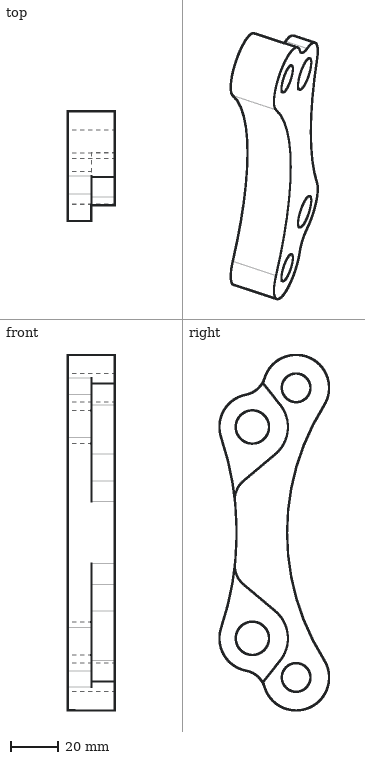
import cadquery as cq
import math

length = 149.9
thickness = 20.0
flange_thickness = thickness / 2
lobe_radius = 14.0
inner_offset = 18.5
inner_height = 44.5
outer_hole_diameter = 12.0
inner_hole_diameter = 14.0
neck_radius = 10.0
back_radius = 100.0
front_radius = 125.0
relief_radius = 15.0
relief_outer_angle = 38.5
relief_inner_angle = 50.0
relief_corner_radius = 10.0
relief_reach = 45.0

outer_center = (0.0, length / 2 - lobe_radius)
inner_center = (-inner_offset, inner_height)


def mirrored(point):
    """Reflect a (Y, Z) point about Z = 0."""
    return (point[0], -point[1])


def toward(start, end, distance):
    """Point at a distance from start on the line to end."""
    ratio = distance / math.dist(start, end)
    return (start[0] + ratio * (end[0] - start[0]), start[1] + ratio * (end[1] - start[1]))


def polar(center, radius, degrees):
    """Point on a circle, with the angle measured from +Y toward +Z."""
    angle = math.radians(degrees)
    return (center[0] + radius * math.cos(angle), center[1] + radius * math.sin(angle))


def tangent_center_y(lobe_center, radius):
    """Y distance from a lobe to the centre, on Z = 0, of an edge arc touching that lobe."""
    return math.sqrt((radius + lobe_radius) ** 2 - lobe_center[1] ** 2)


def notch_point():
    """Sharp inside corner where the outer and the inner lobe circles cross."""
    spacing = math.dist(outer_center, inner_center)
    middle = toward(outer_center, inner_center, spacing / 2)
    rise = math.sqrt(lobe_radius ** 2 - (spacing / 2) ** 2)
    along_y = (inner_center[0] - outer_center[0]) / spacing
    along_z = (inner_center[1] - outer_center[1]) / spacing
    return (middle[0] + rise * along_z, middle[1] - rise * along_y)


def make_plate(start_x, depth):
    """Four-lobed plate with sharp notches between neighbouring lobes."""
    back_center = (outer_center[0] + tangent_center_y(outer_center, back_radius), 0.0)
    front_center = (inner_center[0] - tangent_center_y(inner_center, front_radius), 0.0)

    back_touch = toward(outer_center, back_center, lobe_radius)
    outer_tip = (outer_center[0], outer_center[1] + lobe_radius)
    notch = notch_point()
    inner_tip = (inner_center[0] - lobe_radius, inner_center[1])
    front_touch = toward(inner_center, front_center, lobe_radius)
    front_middle = (front_center[0] + front_radius, 0.0)
    back_middle = (back_center[0] - back_radius, 0.0)

    return (
        cq.Workplane("YZ", origin=(start_x, 0, 0))
        .moveTo(*back_touch)
        .threePointArc(outer_tip, notch)
        .threePointArc(inner_tip, front_touch)
        .threePointArc(front_middle, mirrored(front_touch))
        .threePointArc(mirrored(inner_tip), mirrored(notch))
        .threePointArc(mirrored(outer_tip), mirrored(back_touch))
        .threePointArc(back_middle, back_touch)
        .close()
        .extrude(depth)
    )


def make_flange():
    """Lower layer of the plate, with the notches blended."""
    flange = make_plate(0, flange_thickness)
    for notch in (notch_point(), mirrored(notch_point())):
        edge = cq.selectors.NearestToPointSelector((flange_thickness / 2, *notch))
        flange = flange.edges("|X").edges(edge).fillet(neck_radius)
    return flange


def make_raised_layer():
    """Upper layer of the plate, cut back by the bolt reliefs."""
    relief = make_relief()
    layer = make_plate(flange_thickness, thickness - flange_thickness)
    layer = layer.cut(relief).cut(relief.mirror("XY"))
    corner_zone = cq.selectors.BoxSelector(
        (flange_thickness, -inner_offset - lobe_radius, -inner_height / 2),
        (thickness, -inner_offset, inner_height / 2),
    )
    return layer.edges("|X").edges(corner_zone).fillet(relief_corner_radius)


def make_relief():
    """Upper bolt relief: an arc round the inner hole with two walls opening toward -Y."""
    outer_start = polar(inner_center, relief_radius, relief_outer_angle)
    outer_end = polar(outer_start, relief_reach, relief_outer_angle + 90)
    inner_start = polar(inner_center, relief_radius, -relief_inner_angle)
    inner_end = polar(inner_start, relief_reach, -relief_inner_angle - 90)
    arc_middle = polar(inner_center, relief_radius, (relief_outer_angle - relief_inner_angle) / 2)
    return (
        cq.Workplane("YZ", origin=(flange_thickness, 0, 0))
        .moveTo(*outer_end)
        .lineTo(*outer_start)
        .threePointArc(arc_middle, inner_start)
        .lineTo(*inner_end)
        .close()
        .extrude(thickness - flange_thickness)
    )


def make_holes(center, diameter):
    """Through-holes at a centre and at its mirror image."""
    return (
        cq.Workplane("YZ")
        .pushPoints([center, mirrored(center)])
        .circle(diameter / 2)
        .extrude(thickness)
    )


body = make_flange().union(make_raised_layer())
body = body.cut(make_holes(outer_center, outer_hole_diameter))
result = body.cut(make_holes(inner_center, inner_hole_diameter))